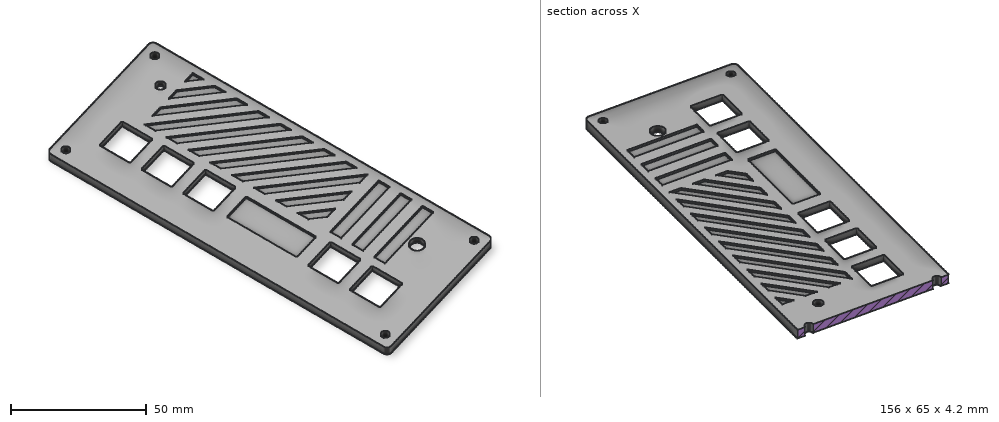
import cadquery as cq

length = 156.0
width = 65.0
thickness = 4.2
corner_radius = 2.0

screw_hole_diameter = 3.4
screw_hole_inset = 5.0
small_hole_diameter = 4.0
small_hole_centre = (15.0, width - 15.0)
large_hole_diameter = 6.0
large_hole_centre = (135.25, width - 19.0)

rim_width = 2 * screw_hole_inset
web_thickness = 3.0
recess_depth = thickness - web_thickness

key_size = 14.0
key_pitch = 19.05
key_row_y = 21.05
key_corner_radius = 0.5
left_key_count = 3
right_key_count = 2
first_key_x = 20.65

panel_length = 32.0
panel_width = 12.0
panel_y = 20.8
panel_corner_radius = 0.5
panel_depth = 1.0
last_left_key_x = first_key_x + (left_key_count - 1) * key_pitch
panel_to_key = 1.5 * key_pitch
panel_x = last_left_key_x + panel_to_key
first_right_key_x = panel_x + panel_to_key

groove_width = 5.0
groove_pitch = 2 * groove_width
groove_depth = 1.0
field_left = 21.1
field_length = 80.0
field_height = 30.0
field_top = width - 3.25
field_bottom = field_top - field_height
bar_count = 3
first_bar_left = field_left + field_length + groove_width


def block(left, bottom, size_x, size_y, depth):
    """Box sunk to the given depth below the top face."""
    corner = (left, bottom, thickness - depth)
    return cq.Workplane("XY").box(size_x, size_y, depth, centered=False).translate(corner)


def plate():
    return block(0, 0, length, width, thickness).edges("|Z").fillet(corner_radius)


def underside_recess():
    recess_length = length - 2 * rim_width
    recess_width = width - 2 * rim_width
    corner = (rim_width, rim_width, 0)
    return cq.Workplane("XY").box(recess_length, recess_width, recess_depth, centered=False).translate(corner)


def through_hole(centre, diameter):
    return cq.Workplane("XY").center(*centre).circle(diameter / 2).extrude(thickness)


def round_holes():
    centres = [
        (x, y)
        for x in (screw_hole_inset, length - screw_hole_inset)
        for y in (screw_hole_inset, width - screw_hole_inset)
    ]
    holes = [through_hole(centre, screw_hole_diameter) for centre in centres]
    holes.append(through_hole(small_hole_centre, small_hole_diameter))
    holes.append(through_hole(large_hole_centre, large_hole_diameter))
    return holes


def rounded_pocket(centre_x, centre_y, size_x, size_y, depth, radius):
    pocket = block(centre_x - size_x / 2, centre_y - size_y / 2, size_x, size_y, depth)
    return pocket.edges("|Z").fillet(radius)


def key_openings():
    left_xs = [first_key_x + i * key_pitch for i in range(left_key_count)]
    right_xs = [first_right_key_x + i * key_pitch for i in range(right_key_count)]
    return [
        rounded_pocket(x, key_row_y, key_size, key_size, thickness, key_corner_radius)
        for x in left_xs + right_xs
    ]


def name_panel():
    return rounded_pocket(
        panel_x, panel_y, panel_length, panel_width, panel_depth, panel_corner_radius
    )


def diagonal_stripes():
    """Stripes leaning 45 degrees, trimmed to the rectangular field."""
    field = block(field_left, field_bottom, field_length, field_height, groove_depth)
    first_start = -round(field_height / groove_pitch)
    last_start = round(field_length / groove_pitch)
    stripes = []
    for i in range(first_start, last_start):
        start = field_left + i * groove_pitch
        stripe = (
            cq.Workplane("XY", origin=(0, 0, thickness - groove_depth))
            .moveTo(start, field_bottom)
            .lineTo(start + groove_width, field_bottom)
            .lineTo(start + groove_width + field_height, field_top)
            .lineTo(start + field_height, field_top)
            .close()
            .extrude(groove_depth)
        )
        stripes.append(stripe.intersect(field))
    return stripes


def upright_bars():
    return [
        block(first_bar_left + i * groove_pitch, field_bottom, groove_width, field_height, groove_depth)
        for i in range(bar_count)
    ]


cutters = [underside_recess(), name_panel()]
cutters += round_holes()
cutters += key_openings()
cutters += diagonal_stripes()
cutters += upright_bars()

result = plate()
for cutter in cutters:
    result = result.cut(cutter)